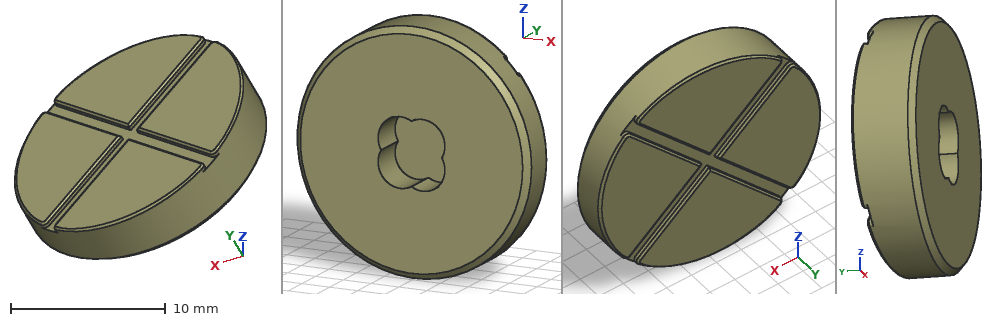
import cadquery as cq
import math

disc_diameter = 16.85
disc_radius = disc_diameter / 2
center_thickness = 3.5
tilt_angle = 5.0
flat_face_chamfer = 0.43
tilted_face_chamfer = 0.15

lobe_radius = 1.6
lobe_offset = 0.8
pocket_depth = 2.5

groove_width = 0.8
groove_depth = 0.4
groove_mouth_radius = 0.37
groove_angles = (45, -45)

clearance = 5.0
cutter_size = 2 * (disc_diameter + clearance)

tilt = math.radians(tilt_angle)
slope_normal = cq.Vector(math.sin(tilt), math.cos(tilt), 0)


def space_above_slope(depth):
    """Block filling the space above a plane sunk by depth below the tilted face."""
    origin = cq.Vector(0, center_thickness, 0) - slope_normal * depth
    plane = cq.Plane(origin=origin, xDir=(math.cos(tilt), -math.sin(tilt), 0), normal=slope_normal)
    return cq.Workplane(plane).rect(cutter_size, cutter_size).extrude(2 * clearance)


def make_wedge_disc():
    """Round disc with a chamfered flat face, cut to a slope on the other side."""
    blank = cq.Workplane("XZ").circle(disc_radius).extrude(-(center_thickness + clearance))
    return blank.faces("<Y").chamfer(flat_face_chamfer).cut(space_above_slope(0))


def make_groove(angle):
    """Straight groove across the tilted face, with its floor parallel to that face."""
    bar = (
        cq.Workplane("XZ")
        .transformed(rotate=(0, 0, angle))
        .rect(disc_diameter + clearance, groove_width)
        .extrude(-(center_thickness + clearance))
    )
    return bar.intersect(space_above_slope(groove_depth))


def is_groove_mouth(edge):
    """True for an edge where a groove wall meets the rim of the disc."""
    center = edge.Center()
    at_rim = math.hypot(center.x, center.z) > disc_radius - groove_width
    off_axis = min(abs(center.x), abs(center.z)) > disc_radius / 2
    return at_rim and off_axis


def make_lobe(x_side, z_side):
    """Cylinder for one lobe of the pocket."""
    center = (x_side * lobe_offset, z_side * lobe_offset)
    return cq.Workplane("XZ").center(*center).circle(lobe_radius).extrude(-pocket_depth)


result = make_wedge_disc()

for groove_angle in groove_angles:
    result = result.cut(make_groove(groove_angle))

result = result.edges("|Y").filter(is_groove_mouth).fillet(groove_mouth_radius)
result = result.faces(cq.DirectionMinMaxSelector(slope_normal)).chamfer(tilted_face_chamfer)

for x_side in (-1, 1):
    for z_side in (-1, 1):
        result = result.cut(make_lobe(x_side, z_side))